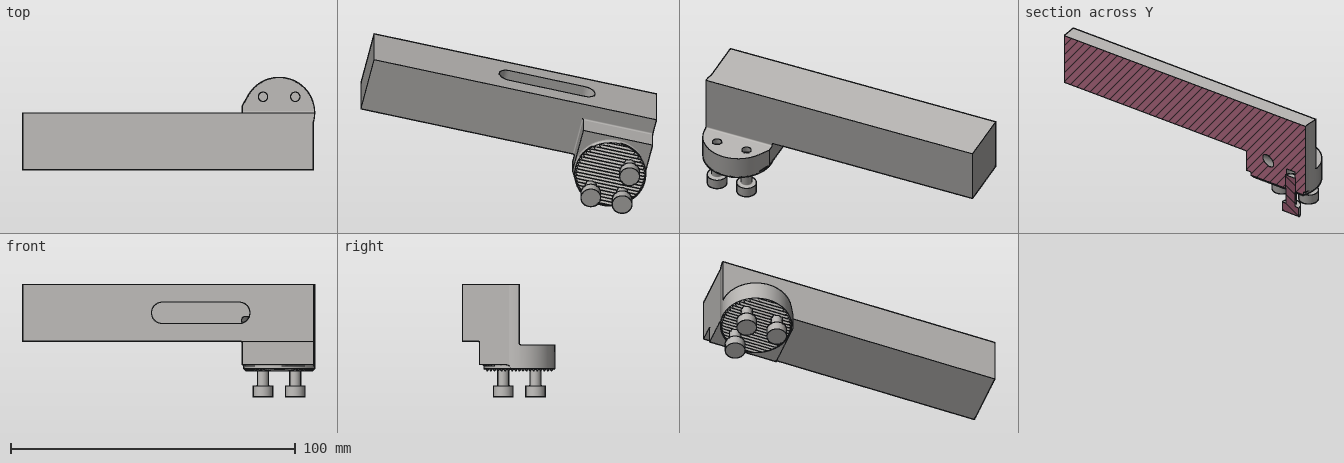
import cadquery as cq
import math

bar_side = 20.0
overall_length = 102.5
overall_height = 39.5
nose_bulge = 0.5
flat_end_x = overall_length - nose_bulge

nose_radius = 12.5
axis_x = overall_length - nose_radius
axis_y = bar_side

plate_reach_left = 13.0
plate_reach_front = 14.0
plate_left = axis_x - plate_reach_left
plate_front = axis_y - plate_reach_front
plate_top = -1.2
plate_bottom = -8.2
flank_angle = math.radians(60)
corner_fillet = 0.5

tooth_count = 20
tooth_pitch = 2 * nose_radius / tooth_count
tooth_height = 0.9
pad_tip = -10.5
pad_root = pad_tip + tooth_height

slot_left = 45.2
slot_right = 79.7
slot_height = 7.5
slot_depth = 5.0
slot_z = bar_side / 2

bore_diameter = 3.5
bore_x = 79.0
bore_z = 6.6
bore_direction = cq.Vector(1, 1.3, -1)

screw_angles = [math.radians(degrees) for degrees in (-45, 45, 135)]
bolt_circle = 16.0
shank_diameter = 4.0
shank_length = 12.0
head_diameter = 7.0
head_height = 3.8
head_fillet = 0.3
head_bottom = bar_side - overall_height
head_top = head_bottom + head_height
screw_tip = head_top + shank_length
tap_diameter = 3.3


def nose_point(angle):
    """Point on the nose circle at an angle from +X."""
    return (axis_x + nose_radius * math.cos(angle), axis_y + nose_radius * math.sin(angle))


flat_angle = -math.acos(1 - nose_bulge / nose_radius)
flank_tangent_angle = flank_angle + math.pi / 2


def bar_prism():
    return (
        cq.Workplane("XY")
        .lineTo(flat_end_x, 0)
        .lineTo(*nose_point(flat_angle))
        .threePointArc(nose_point(flat_angle / 2), nose_point(0))
        .lineTo(0, bar_side)
        .close()
        .extrude(bar_side)
    )


def plate_prism(bottom, top):
    """Prism with the plate's outline between two heights."""
    tangent_x, tangent_y = nose_point(flank_tangent_angle)
    flank_foot_y = tangent_y - (tangent_x - plate_left) * math.tan(flank_angle)
    return (
        cq.Workplane("XY", origin=(0, 0, bottom))
        .moveTo(plate_left, plate_front)
        .lineTo(flat_end_x, plate_front)
        .lineTo(*nose_point(flat_angle))
        .threePointArc(nose_point(flat_angle / 2), nose_point(0))
        .threePointArc(nose_point(flank_tangent_angle / 2), (tangent_x, tangent_y))
        .lineTo(plate_left, flank_foot_y)
        .close()
        .extrude(top - bottom)
    )


def filleted_blank():
    """Bar and plate in one piece, filleted along the inner corners where they meet."""
    under_bar = cq.Workplane("XY").box(overall_length, bar_side, -plate_top, centered=False)
    neck = plate_prism(plate_top, 0).intersect(under_bar.translate((0, 0, plate_top)))
    blank = bar_prism().union(neck).union(plate_prism(plate_bottom, plate_top))

    middle_x = (plate_left + flat_end_x) / 2
    middle_y = (plate_front + axis_y) / 2
    for corner in (
        (middle_x, plate_front, 0),
        (plate_left, middle_y, 0),
        (middle_x, axis_y, plate_top),
    ):
        blank = blank.edges(cq.selectors.NearestToPointSelector(corner)).fillet(corner_fillet)
    return blank


def serrated_pad():
    """Disc with a fillet at the plate, a chamfered rim and V teeth running along X."""
    fillet_mid = corner_fillet * (1 - math.sqrt(0.5))
    disc = (
        cq.Workplane("XZ", origin=(axis_x, axis_y, 0))
        .moveTo(0, plate_bottom)
        .lineTo(nose_radius + corner_fillet, plate_bottom)
        .threePointArc(
            (nose_radius + fillet_mid, plate_bottom - fillet_mid),
            (nose_radius, plate_bottom - corner_fillet),
        )
        .lineTo(nose_radius, pad_root)
        .lineTo(nose_radius - tooth_height, pad_tip)
        .lineTo(0, pad_tip)
        .close()
        .revolve(360, (0, 0, 0), (0, 1, 0))
    )
    pad = disc.intersect(plate_prism(pad_tip, plate_bottom))

    for index in range(tooth_count):
        groove_y = axis_y - nose_radius + (index + 0.5) * tooth_pitch
        groove = (
            cq.Workplane("YZ", origin=(axis_x - nose_radius, groove_y, 0))
            .moveTo(-tooth_pitch / 2, pad_tip)
            .lineTo(0, pad_root)
            .lineTo(tooth_pitch / 2, pad_tip)
            .close()
            .extrude(2 * nose_radius)
        )
        pad = pad.cut(groove)
    return pad


def pocket():
    return (
        cq.Workplane("XZ", origin=((slot_left + slot_right) / 2, 0, slot_z))
        .slot2D(slot_right - slot_left, slot_height)
        .extrude(-slot_depth)
    )


def slanted_bore():
    """Blind bore through the pocket floor, as far as the nose axis in X."""
    mouth = cq.Vector(bore_x, slot_depth, bore_z)
    end = mouth + bore_direction * ((axis_x - bore_x) / bore_direction.x)
    start = mouth - bore_direction.normalized() * bore_diameter
    return cq.Solid.makeCylinder(bore_diameter / 2, (end - start).Length, start, bore_direction)


def screw_places():
    radius = bolt_circle / 2
    return [
        (axis_x + radius * math.cos(angle), axis_y + radius * math.sin(angle))
        for angle in screw_angles
    ]


def screw_hole(x, y):
    """Shank hole up to the screw tip, then a narrower hole through the plate."""
    shank_part = (
        cq.Workplane("XY", origin=(x, y, pad_tip))
        .circle(shank_diameter / 2)
        .extrude(screw_tip - pad_tip)
    )
    tap_part = (
        cq.Workplane("XY", origin=(x, y, pad_tip))
        .circle(tap_diameter / 2)
        .extrude(plate_top - pad_tip)
    )
    return shank_part.union(tap_part)


def make_holder():
    holder = filleted_blank().union(serrated_pad()).cut(pocket()).cut(slanted_bore())
    for place in screw_places():
        holder = holder.cut(screw_hole(*place))
    return holder


def make_screw(x, y):
    """Cap screw, head down, with a fillet between head and shank."""
    head = cq.Workplane("XY", origin=(x, y, head_bottom)).circle(head_diameter / 2).extrude(head_height)
    screw = head.faces(">Z").workplane().circle(shank_diameter / 2).extrude(shank_length)
    shank_foot = cq.selectors.RadiusNthSelector(0)
    return screw.edges(shank_foot).edges("<Z").fillet(head_fillet)


holder = make_holder()
screws = [make_screw(x, y) for x, y in screw_places()]

result = cq.Compound.makeCompound([body.solids().val() for body in [holder, *screws]])